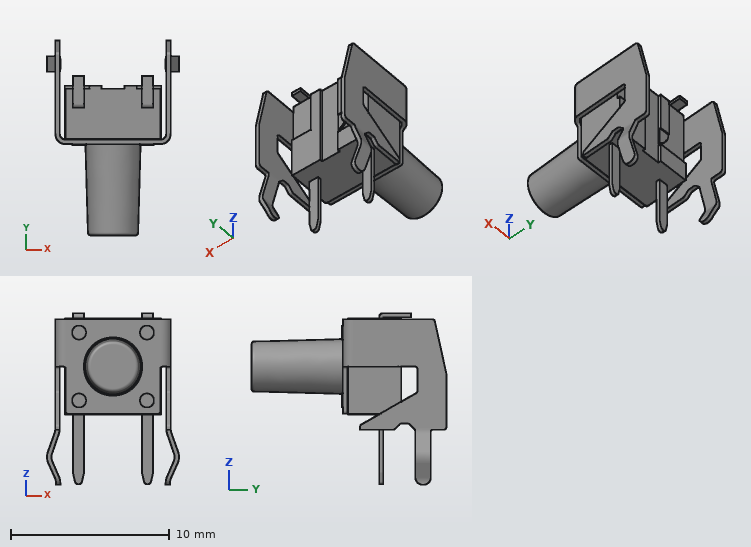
import cadquery as cq
import math


sheet = 0.3
wall_outer_x = 3.65
bend_radius = 0.65
front_half = wall_outer_x - bend_radius
corner_round = 0.2
bracket_back_y = 6.57
wall_bottom_z = -4.01

slope_top_y = 5.8
slope_bottom_z = -0.48
window_back_y = 4.73
window_bottom_z = -1.63
arm_tip_y = 1.09
arm_tip_z = -3.72
notch_front_y = 3.25
notch_depth = 0.4
notch_front_top_y = notch_front_y + notch_depth

leg_width = 1.0
leg_front_y = 4.58
leg_back_y = leg_front_y + leg_width
leg_root_round = 0.1
leg_tip_z = -7.5
leg_bend_z = -4.08
leg_apex_x = 4.26
leg_apex_z = -5.77
leg_foot_z = -7.19
leg_foot_x = 3.62
leg_bend_radius = 1.04
knee_radius = 0.94
foot_radius = 0.8

plunger_hole_radius = 1.85
rivet_radius = 0.45
rivet_offset = 2.15
rivet_height = 0.07

housing_half = 3.06
housing_back_y = 3.72
housing_chamfer = 0.06
back_step = 0.2
back_pad_half = 1.5
pad_end_drop = 0.06
back_slot_width = 1.43

plunger_tip_y = -5.78
plunger_base_radius = 1.75
plunger_tip_radius = 1.59
plunger_round = 0.2

pin_thickness = 0.27
pin_width = 0.72
pin_x = 2.19
pin_front_y = 2.3
pin_top_z = 3.38
pin_top_back_y = 4.32
pin_bend_radius = 0.26
pin_taper_z = -6.72
pin_nose_z = -7.26
pin_nose_half = 0.23
pin_tip_z = -7.46

smallest_line = 0.0001


def rounded_outline(plane, corners):
    """Closed outline through (u, v, radius) corners, each rounded by a tangent arc."""
    pieces = []
    for i, (u, v, radius) in enumerate(corners):
        if radius == 0:
            pieces.append([(u, v)])
            continue
        corner = cq.Vector(u, v)
        before = cq.Vector(*corners[i - 1][:2])
        after = cq.Vector(*corners[(i + 1) % len(corners)][:2])
        to_before = (before - corner).normalized()
        to_after = (after - corner).normalized()
        half_angle = to_before.getAngle(to_after) / 2
        tangent = radius / math.tan(half_angle)
        to_middle = radius / math.sin(half_angle) - radius
        middle = corner + (to_before + to_after).normalized() * to_middle
        arc = [corner + to_before * tangent, middle, corner + to_after * tangent]
        pieces.append([(p.x, p.y) for p in arc])

    outline = cq.Workplane(plane).moveTo(*pieces[0][-1])
    reached = pieces[0][-1]
    for piece in pieces[1:] + pieces[:1]:
        if math.dist(reached, piece[0]) > smallest_line:
            outline = outline.lineTo(*piece[0])
        reached = piece[-1]
        if len(piece) > 1:
            outline = outline.threePointArc(piece[1], piece[2])
    return outline.close()


def block(x_range, y_range, z_range):
    """Box given by its limits along each axis."""
    spans = [x_range, y_range, z_range]
    size = [high - low for low, high in spans]
    return cq.Workplane("XY").box(*size, centered=False).translate([low for low, _ in spans])


def discs(radius, y_start, y_end):
    """Four cylinders along Y at the rivet positions."""
    spots = [(x, z) for x in (-rivet_offset, rivet_offset) for z in (-rivet_offset, rivet_offset)]
    plane = cq.Workplane("XZ", origin=(0, y_start, 0))
    return plane.pushPoints(spots).circle(radius).extrude(y_start - y_end)


def bracket_front():
    """Front plate with both corner bends; the bends reach only the upper half."""
    bent_sheet = rounded_outline("XY", [
        (-wall_outer_x, 0, bend_radius),
        (wall_outer_x, 0, bend_radius),
        (wall_outer_x, bend_radius, 0),
        (wall_outer_x - sheet, bend_radius, 0),
        (wall_outer_x - sheet, sheet, bend_radius - sheet),
        (sheet - wall_outer_x, sheet, bend_radius - sheet),
        (sheet - wall_outer_x, bend_radius, 0),
        (-wall_outer_x, bend_radius, 0),
    ]).extrude(front_half, both=True)
    face = rounded_outline("XZ", [
        (-wall_outer_x, front_half, 0),
        (wall_outer_x, front_half, 0),
        (wall_outer_x, 0, 0),
        (front_half, 0, corner_round),
        (front_half, -front_half, corner_round),
        (-front_half, -front_half, corner_round),
        (-front_half, 0, corner_round),
        (-wall_outer_x, 0, 0),
    ]).extrude(-bend_radius)
    front = bent_sheet.intersect(face)
    plunger_hole = cq.Workplane("XZ").circle(plunger_hole_radius).extrude(-sheet)
    return front.cut(plunger_hole).cut(discs(rivet_radius, 0, sheet))


def bracket_wall():
    """Side wall at +X with its snap leg: the bent sheet trimmed to the wall outline."""
    outward_run = math.hypot(leg_apex_x - wall_outer_x, leg_bend_z - leg_apex_z)
    inward_run = math.hypot(leg_apex_x - leg_foot_x, leg_apex_z - leg_foot_z)
    outward_stretch = outward_run / (leg_bend_z - leg_apex_z)
    inward_stretch = inward_run / (leg_apex_z - leg_foot_z)
    slant_sheet = sheet * max(outward_stretch, inward_stretch)
    bent_sheet = rounded_outline("XZ", [
        (wall_outer_x, front_half, 0),
        (wall_outer_x, leg_bend_z, leg_bend_radius),
        (leg_apex_x, leg_apex_z, knee_radius),
        (leg_foot_x, leg_foot_z, foot_radius),
        (leg_foot_x, leg_tip_z, 0),
        (leg_foot_x - sheet, leg_tip_z, 0),
        (leg_foot_x - sheet, leg_foot_z, foot_radius + sheet),
        (leg_apex_x - slant_sheet, leg_apex_z, knee_radius - sheet),
        (wall_outer_x - sheet, leg_bend_z, leg_bend_radius + sheet),
        (wall_outer_x - sheet, front_half, 0),
    ]).extrude(-bracket_back_y)
    arm_depth = (0, notch_front_top_y)
    wall_height = (leg_tip_z, front_half)
    flat_sheet = block((wall_outer_x - sheet, wall_outer_x), arm_depth, wall_height)
    arm_zone = block((0, leg_apex_x), arm_depth, wall_height)
    sheet_run = bent_sheet.cut(arm_zone).union(flat_sheet)
    leg_round = leg_width / 2
    trim = rounded_outline("YZ", [
        (bend_radius, front_half, 0),
        (slope_top_y, front_half, corner_round),
        (bracket_back_y, slope_bottom_z, 0),
        (bracket_back_y, wall_bottom_z, corner_round),
        (leg_back_y, wall_bottom_z, leg_root_round),
        (leg_back_y, leg_tip_z, leg_round),
        (leg_front_y, leg_tip_z, leg_round),
        (leg_front_y, wall_bottom_z, corner_round),
        (leg_front_y - notch_depth, wall_bottom_z + notch_depth, corner_round),
        (notch_front_top_y, wall_bottom_z + notch_depth, corner_round),
        (notch_front_y, wall_bottom_z, corner_round),
        (arm_tip_y, wall_bottom_z, 0),
        (arm_tip_y, arm_tip_z, corner_round),
        (window_back_y, window_bottom_z, corner_round),
        (window_back_y, 0, corner_round),
        (bend_radius, 0, 0),
    ]).extrude(leg_apex_x)
    return sheet_run.intersect(trim)


def make_bracket():
    wall = bracket_wall()
    return bracket_front().union(wall).union(wall.mirror("YZ"))


def housing_block():
    """Chamfered housing; the left back recess runs lower than the right one, round the pad end."""
    across = (-housing_half, housing_half)
    body = block(across, (sheet, housing_back_y), across)
    body = body.edges("|Y or <Y").chamfer(housing_chamfer)

    step_y = housing_back_y - back_step
    step = (step_y, housing_back_y)
    left_recess = block((-housing_half, 0), step, (-back_pad_half, housing_half))
    right_recess = block((0, housing_half), step, (0, housing_half))
    pad = block((-back_pad_half, back_pad_half), step, (0, housing_half))
    pad_end = (
        cq.Workplane("XZ", origin=(0, step_y, 0))
        .circle(back_pad_half)
        .extrude(pad_end_drop - back_step)
    )
    recesses = left_recess.union(right_recess).cut(pad).cut(pad_end)
    slot = block((-back_slot_width / 2, back_slot_width / 2), step, across)
    return body.cut(recesses).cut(slot)


def plunger():
    """Tapered round plunger with a rounded tip, rooted in the housing front face."""
    taper = (plunger_base_radius - plunger_tip_radius) / -plunger_tip_y
    root_radius = plunger_base_radius + taper * sheet
    cone = (
        cq.Workplane("XY")
        .moveTo(0, sheet)
        .lineTo(root_radius, sheet)
        .lineTo(plunger_tip_radius, plunger_tip_y)
        .lineTo(0, plunger_tip_y)
        .close()
        .revolve(360, (0, 0), (0, 1))
    )
    return cone.faces("<Y").edges().fillet(plunger_round)


def pin(x):
    """Flat contact pin through the housing, bent backward above it, with a tapered nose below."""
    half = pin_width / 2
    pin_back_y = pin_front_y + pin_thickness
    bent_strip = rounded_outline("YZ", [
        (pin_front_y, pin_tip_z, 0),
        (pin_front_y, pin_top_z, pin_bend_radius),
        (pin_top_back_y, pin_top_z, 0),
        (pin_top_back_y, pin_top_z - pin_thickness, 0),
        (pin_back_y, pin_top_z - pin_thickness, 0),
        (pin_back_y, pin_tip_z, 0),
    ]).extrude(half, both=True)
    face = (
        cq.Workplane("XZ")
        .moveTo(-half, pin_top_z)
        .lineTo(-half, pin_taper_z)
        .lineTo(-pin_nose_half, pin_nose_z)
        .threePointArc((0, pin_tip_z), (pin_nose_half, pin_nose_z))
        .lineTo(half, pin_taper_z)
        .lineTo(half, pin_top_z)
        .close()
        .extrude(-pin_top_back_y)
    )
    return bent_strip.intersect(face).translate((x, 0, 0))


def make_switch():
    """Housing moulded together with plunger, rivets and contact pins."""
    switch = housing_block().union(plunger()).union(discs(rivet_radius, -rivet_height, sheet))
    for x in (-pin_x, pin_x):
        switch = switch.union(pin(x))
    return switch


bracket = make_bracket()
switch = make_switch()

result = cq.Compound.makeCompound([bracket.solids().val(), switch.solids().val()])